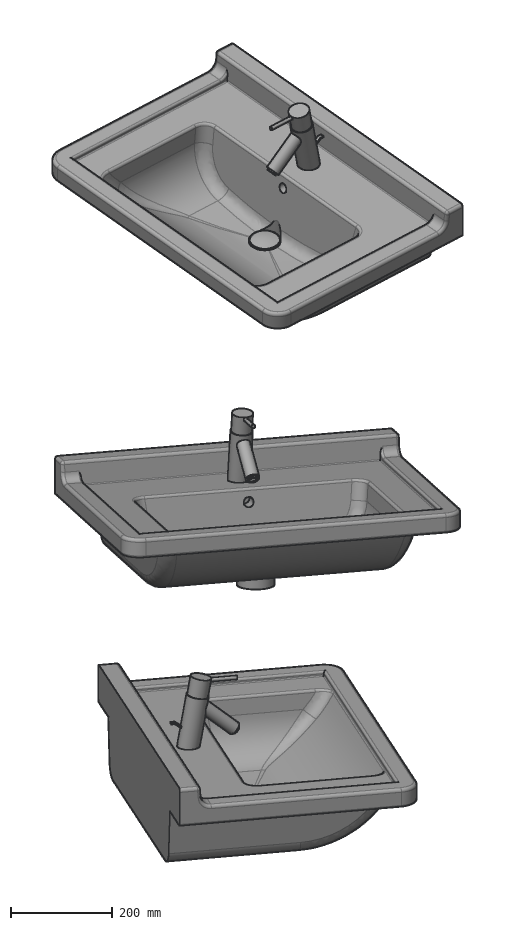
import cadquery as cq
import math


WIDTH = 700
DEPTH = 490
OVERALL_HEIGHT = 332.18

RIM_HEIGHT = 40
SPLASH_HEIGHT = 80
SPLASH_TOP_DEPTH = 42
SPLASH_FOOT_DEPTH = 46
GUSSET_RADIUS = 20
CORNER_RADIUS = 40
OUTER_ROUND = 7
UNDERSIDE_ROUND = 5

DECK_Z = 30
RAIL_WIDTH = 41
RAIL_INNER_ROUND = 5
DECK_ROUND = 2

BOWL_BOTTOM_Z = -120
BOWL_HALF_TOP = 265
BOWL_HALF_BOTTOM = 251
BOWL_FLAT_END_Y = -268
BOWL_FRONT_Y = -458
BOWL_EDGE_ROUND = 30

DRAIN_Y = -215
FLOOR_Z = -105
BASIN_FRONT_Y = -446.5
BASIN_BACK_Y = -162
BASIN_BACK_FOOT_Y = -190
FLOOR_HALF_WIDTH = 150
FLOOR_RADIUS = 1094
SIDE_RADIUS = 100
SIDE_WALL_ANGLE = 83
INNER_ROUND = 26
OPENING_ROUND = 6
WELL_DIAMETER = 64
WELL_TOP_Z = -60

BOSS_HEIGHT = 6
BOSS_ROUND = 4
DRAIN_DIAMETER = 75
DRAIN_LENGTH = 28.5
DRAIN_BORE = 45
STOPPER_DIAMETER = 60
STOPPER_EDGE = 3
STOPPER_RISE = 4

OVERFLOW_DIAMETER = 20
OVERFLOW_Z = 2
OVERFLOW_END_Y = -140

TAP_TILT = 10
TAP_BASE_Y = -100.5
TAP_BODY_DIAMETER = 45
TAP_BODY_LENGTH = 107
HANDLE_DIAMETER = 42
LEVER_DIAMETER = 8
LEVER_Z = 166
LEVER_END_Y = -199
SPOUT_DIAMETER = 28
SPOUT_SLOPE = 40
SPOUT_START_Z = 123
SPOUT_LENGTH = 101
NOZZLE_DIAMETER = 20
NOZZLE_BORE = 16
NOZZLE_LENGTH = 4
NOZZLE_BORE_DEPTH = 8
TAB_WIDTH = 8
TAB_THICKNESS = 3
TAB_TIP = (-65.5, 81)
TAB_BEND = (-72, 81)
TAB_ROOT = (-95, 65)

boss_z = BOWL_BOTTOM_Z - BOSS_HEIGHT
drain_bottom_z = boss_z - DRAIN_LENGTH
tilt = math.radians(TAP_TILT)
spout_slope = math.radians(SPOUT_SLOPE)
tap_axis = cq.Vector(0, -math.sin(tilt), math.cos(tilt))
spout_axis = cq.Vector(0, -math.cos(spout_slope), -math.sin(spout_slope))
tap_foot = cq.Vector(0, TAP_BASE_Y, DECK_Z)
spout_start = tap_foot + tap_axis * ((SPOUT_START_Z - DECK_Z) / math.cos(tilt))
lever_start_y = TAP_BASE_Y - (LEVER_Z - DECK_Z) * math.tan(tilt)
handle_top_centre_z = drain_bottom_z + OVERALL_HEIGHT - HANDLE_DIAMETER / 2 * math.sin(tilt)
handle_length = (handle_top_centre_z - DECK_Z) / math.cos(tilt) - TAP_BODY_LENGTH
splash_slope = (SPLASH_FOOT_DEPTH - SPLASH_TOP_DEPTH) / (SPLASH_HEIGHT - DECK_Z)


def splash_face_y(z):
    """Y of the leaning front face of the wall splash at height z."""
    return -SPLASH_TOP_DEPTH - splash_slope * (SPLASH_HEIGHT - z)


def rim_slab():
    """Slab and wall splash in one outline, rounded along all their outer edges."""
    outline = cq.Workplane("YZ").polyline([
        (0, 0), (-DEPTH, 0), (-DEPTH, RIM_HEIGHT), (splash_face_y(RIM_HEIGHT), RIM_HEIGHT),
        (-SPLASH_TOP_DEPTH, SPLASH_HEIGHT), (0, SPLASH_HEIGHT),
    ]).close()
    slab = outline.extrude(WIDTH / 2, both=True)
    slab = slab.edges("|Z and <Y").fillet(CORNER_RADIUS)
    inner_corner = cq.selectors.NearestToPointSelector((0, splash_face_y(RIM_HEIGHT), RIM_HEIGHT))
    slab = slab.edges(inner_corner).fillet(GUSSET_RADIUS)
    upper = cq.selectors.BoxSelector((-WIDTH, -DEPTH - 1, RIM_HEIGHT - 1), (WIDTH, -1, SPLASH_HEIGHT + 1))
    across = slab.faces("<X or >X or <Y").edges(upper).vals()
    corners = slab.edges("%CIRCLE and (not #X)").edges(upper).vals()
    slab = slab.newObject(across + corners + slab.edges("|X and >Z").edges(upper).vals()).fillet(OUTER_ROUND)
    return slab.faces("<Z").edges("not >Y").fillet(UNDERSIDE_ROUND)


def railed_slab():
    """Slab hollowed down to the deck, leaving two side rails and a front rail."""
    half_opening = WIDTH / 2 - RAIL_WIDTH
    front_y = -DEPTH + RAIL_WIDTH
    hollow = cq.Workplane("XY", origin=(0, front_y / 2, DECK_Z)).rect(2 * half_opening, -front_y)
    rails = rim_slab().cut(hollow.extrude(SPLASH_HEIGHT))
    around_opening = cq.selectors.BoxSelector(
        (-half_opening - 1, front_y - 1, RIM_HEIGHT - 1), (half_opening + 1, -1, SPLASH_HEIGHT + 1)
    )
    return rails.edges(around_opening).fillet(RAIL_INNER_ROUND)


def wall_splash():
    """Raised bar along the wall that closes the deck between the two side rails."""
    outline = cq.Workplane("YZ").polyline([
        (0, DECK_Z), (splash_face_y(DECK_Z), DECK_Z), (-SPLASH_TOP_DEPTH, SPLASH_HEIGHT), (0, SPLASH_HEIGHT),
    ]).close()
    bar = outline.extrude(WIDTH / 2 - OUTER_ROUND, both=True)
    return bar.faces(">Z").edges("<Y").fillet(OUTER_ROUND)


def bowl_outside():
    run = BOWL_FLAT_END_Y - BOWL_FRONT_Y
    drop = -BOWL_BOTTOM_Z
    front_radius = (run**2 + drop**2) / (2 * drop)
    profile = (
        cq.Workplane("YZ").lineTo(0, BOWL_BOTTOM_Z).lineTo(BOWL_FLAT_END_Y, BOWL_BOTTOM_Z)
        .radiusArc((BOWL_FRONT_Y, 0), front_radius).close()
    )
    section = cq.Workplane("XZ").polyline([
        (-BOWL_HALF_TOP, 0), (BOWL_HALF_TOP, 0),
        (BOWL_HALF_BOTTOM, BOWL_BOTTOM_Z), (-BOWL_HALF_BOTTOM, BOWL_BOTTOM_Z),
    ]).close()
    bowl = profile.extrude(WIDTH / 2, both=True).intersect(section.extrude(DEPTH))
    lower_edges = bowl.faces("<Z").edges("|Y").vals() + bowl.edges("%ELLIPSE").vals()
    return bowl.newObject(lower_edges).fillet(BOWL_EDGE_ROUND)


def bowl_inside():
    """Hollow of the bowl: a front-to-back valley crossed with a side-to-side valley."""
    run = DRAIN_Y - BASIN_FRONT_Y
    rise = DECK_Z - FLOOR_Z
    front_radius = (run**2 + rise**2) / (2 * rise)
    lengthwise = (
        cq.Workplane("YZ").moveTo(BASIN_FRONT_Y, DECK_Z).lineTo(BASIN_BACK_Y, DECK_Z)
        .lineTo(BASIN_BACK_FOOT_Y, FLOOR_Z).lineTo(DRAIN_Y, FLOOR_Z)
        .radiusArc((BASIN_FRONT_Y, DECK_Z), front_radius).close()
    )
    floor_angle = math.asin(FLOOR_HALF_WIDTH / FLOOR_RADIUS)
    wall_angle = math.radians(SIDE_WALL_ANGLE)
    floor_side_z = FLOOR_Z + FLOOR_RADIUS * (1 - math.cos(floor_angle))

    def side_point(angle, side):
        """Point of the side arc, which leaves the floor arc at floor_angle without a kink."""
        x = FLOOR_HALF_WIDTH + SIDE_RADIUS * (math.sin(angle) - math.sin(floor_angle))
        z = floor_side_z + SIDE_RADIUS * (math.cos(floor_angle) - math.cos(angle))
        return side * x, z

    mid_angle = (floor_angle + wall_angle) / 2
    wall_foot_x, wall_foot_z = side_point(wall_angle, 1)
    half_opening = wall_foot_x + (DECK_Z - wall_foot_z) / math.tan(wall_angle)
    crosswise = (
        cq.Workplane("XZ").moveTo(-half_opening, DECK_Z).lineTo(*side_point(wall_angle, -1))
        .threePointArc(side_point(mid_angle, -1), side_point(floor_angle, -1))
        .threePointArc((0, FLOOR_Z), side_point(floor_angle, 1))
        .threePointArc(side_point(mid_angle, 1), side_point(wall_angle, 1))
        .lineTo(half_opening, DECK_Z).close()
    )
    hollow = crosswise.extrude(DEPTH).intersect(lengthwise.extrude(WIDTH / 2, both=True))
    hollow = hollow.cut(drain_well())
    creases = [
        edge for edge in hollow.edges("not(|X or |Y)").vals()
        if abs(edge.Center().x) > WELL_DIAMETER / 2
    ]
    return hollow.newObject(creases).fillet(INNER_ROUND)


def drain_well():
    """Round space at the lowest point of the bowl, where the stopper sits."""
    well = cq.Workplane("XY", origin=(0, DRAIN_Y, FLOOR_Z)).circle(WELL_DIAMETER / 2)
    return well.extrude(WELL_TOP_Z - FLOOR_Z)


def make_basin():
    deck_level = cq.selectors.BoxSelector((-WIDTH, -DEPTH, DECK_Z - 1), (WIDTH, 0, DECK_Z + 1))
    basin = railed_slab().union(wall_splash())
    basin = basin.edges(deck_level).fillet(DECK_ROUND)

    boss = cq.Workplane("XY", origin=(0, DRAIN_Y, boss_z)).circle(DRAIN_DIAMETER / 2)
    basin = basin.union(bowl_outside()).union(boss.extrude(FLOOR_Z - boss_z))
    boss_root = cq.selectors.NearestToPointSelector((0, DRAIN_Y, BOWL_BOTTOM_Z))
    basin = basin.edges(boss_root).fillet(BOSS_ROUND)

    basin = basin.cut(bowl_inside()).cut(drain_well())
    opening = cq.selectors.BoxSelector(
        (-WIDTH / 2 + RAIL_WIDTH + DECK_ROUND + 1, BASIN_FRONT_Y + 1, DECK_Z - 1),
        (WIDTH / 2 - RAIL_WIDTH - DECK_ROUND - 1, BASIN_BACK_Y + 1, DECK_Z + 1),
    )
    basin = basin.edges(opening).fillet(OPENING_ROUND)

    bore = cq.Workplane("XY", origin=(0, DRAIN_Y, boss_z)).circle(DRAIN_BORE / 2)
    overflow = cq.Workplane("XZ", origin=(0, OVERFLOW_END_Y, OVERFLOW_Z)).circle(OVERFLOW_DIAMETER / 2)
    return basin.cut(bore.extrude(FLOOR_Z - boss_z)).cut(overflow.extrude(DRAIN_Y / -4))


def make_drain():
    pipe = cq.Workplane("XY", origin=(0, DRAIN_Y, drain_bottom_z)).circle(DRAIN_DIAMETER / 2)
    return pipe.extrude(DRAIN_LENGTH)


def make_stopper():
    """Domed cap on a plug that fills the drain bore."""
    plug = cq.Workplane("XY", origin=(0, DRAIN_Y, boss_z)).circle(DRAIN_BORE / 2).extrude(FLOOR_Z - boss_z)
    radius = STOPPER_DIAMETER / 2
    dome_radius = (radius**2 + STOPPER_RISE**2) / (2 * STOPPER_RISE)
    half_cap = (
        cq.Workplane("XZ", origin=(0, DRAIN_Y, FLOOR_Z)).lineTo(radius, 0).lineTo(radius, STOPPER_EDGE)
        .radiusArc((0, STOPPER_EDGE + STOPPER_RISE), -dome_radius).close()
    )
    return half_cap.revolve(360, (0, 0, 0), (0, 1, 0)).union(plug)


def rod(start, axis, diameter, length):
    """Round bar of the given length from a start point along an axis square to X."""
    plane = cq.Plane(origin=start, xDir=(1, 0, 0), normal=axis)
    return cq.Workplane(plane).circle(diameter / 2).extrude(length)


def make_tap_body():
    """Tilted column whose foot is cut level with the deck."""
    column = rod(tap_foot - tap_axis * TAP_BODY_DIAMETER, tap_axis, TAP_BODY_DIAMETER,
                 TAP_BODY_LENGTH + TAP_BODY_DIAMETER)
    below_deck = cq.Workplane("XY", origin=(0, 0, DECK_Z)).rect(WIDTH, DEPTH).extrude(-OVERALL_HEIGHT)
    return column.cut(below_deck)


def make_handle():
    return rod(tap_foot + tap_axis * TAP_BODY_LENGTH, tap_axis, HANDLE_DIAMETER, handle_length)


def make_lever(handle):
    """Level rod whose root fits the round side of the handle."""
    start = cq.Vector(0, lever_start_y, LEVER_Z)
    lever = rod(start, cq.Vector(0, -1, 0), LEVER_DIAMETER, lever_start_y - LEVER_END_Y)
    return lever.cut(handle)


def make_spout(tap_body):
    """Sloping spout with a narrow open nozzle; its root fits the round side of the tap body."""
    tip = spout_start + spout_axis * SPOUT_LENGTH
    spout = rod(spout_start, spout_axis, SPOUT_DIAMETER, SPOUT_LENGTH)
    nozzle = rod(tip, spout_axis, NOZZLE_DIAMETER, NOZZLE_LENGTH)
    mouth = tip + spout_axis * NOZZLE_LENGTH
    bore = rod(mouth, spout_axis * -1, NOZZLE_BORE, NOZZLE_BORE_DEPTH)
    return spout.union(nozzle).cut(bore).cut(tap_body)


def make_tab(tap_body):
    """Bent flat strip on the wall side of the tap body."""
    middle_line = cq.Workplane("YZ").moveTo(*TAB_TIP).lineTo(*TAB_BEND).lineTo(*TAB_ROOT)
    strip = middle_line.wire().offset2D(TAB_THICKNESS / 2).extrude(TAB_WIDTH / 2, both=True)
    return strip.cut(tap_body)


basin = make_basin()
drain = make_drain()
stopper = make_stopper()
tap_body = make_tap_body()
handle = make_handle()
lever = make_lever(handle)
spout = make_spout(tap_body)
tab = make_tab(tap_body)

result = cq.Compound.makeCompound([
    basin.val(), drain.val(), stopper.val(), tap_body.val(),
    handle.val(), lever.val(), spout.val(), tab.val(),
])